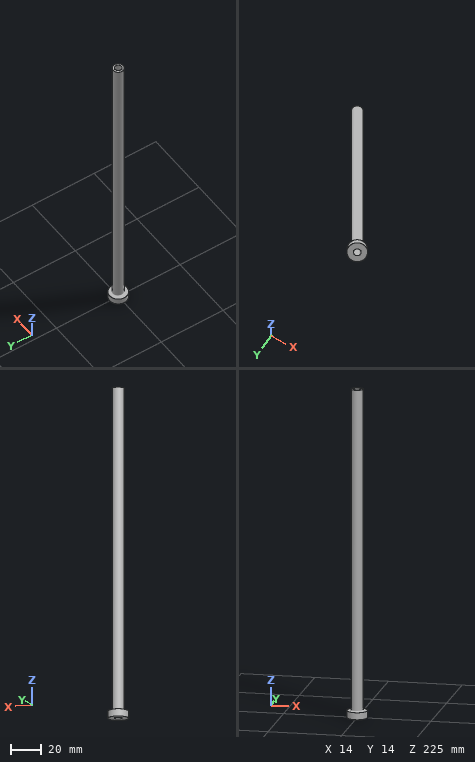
import cadquery as cq

total_length = 225.0
head_diameter = 14.0
head_height = 5.0
shaft_diameter = 8.0
bore_diameter = 5.0
neck_fillet = 0.5

head = cq.Workplane("XY").circle(head_diameter / 2).extrude(head_height)
shaft = cq.Workplane("XY").circle(shaft_diameter / 2).extrude(total_length)
body = head.union(shaft)

neck_corner = cq.selectors.BoxSelector(
    (-shaft_diameter, -shaft_diameter, head_height - neck_fillet),
    (shaft_diameter, shaft_diameter, head_height + neck_fillet),
)
body = body.edges(neck_corner).edges(cq.selectors.RadiusNthSelector(0)).fillet(neck_fillet)

bore = cq.Workplane("XY").circle(bore_diameter / 2).extrude(total_length)
result = body.cut(bore)